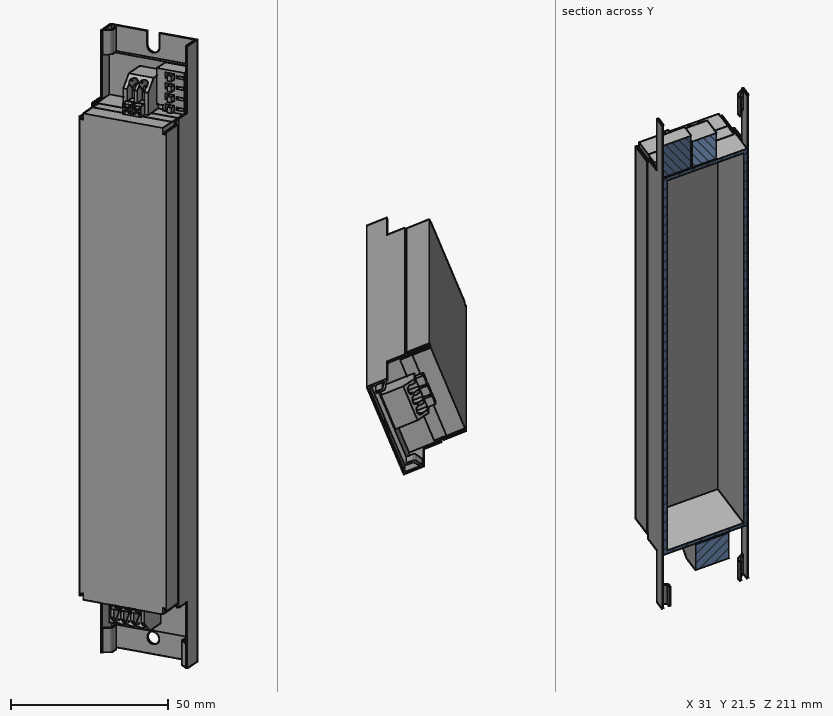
import cadquery as cq
import math


length = 211.0
width = 31.0
depth = 21.5
sheet = 0.6

low_wall_depth = 7.0
high_wall_depth = 13.0
wall_end = 22.5
slot_width = 4.5
hole_diameter = 4.2
slot_depth = 7.0
hole_height = 5.5
hook_length = 8.2
hook_reach = 3.2
hook_drop = 2.0
hook_bend_radius = 0.8

board_end = 8.7
board_depth = 2.1
inner_half_width = width / 2 - sheet

cover_end = 23.0
wall_gap = 0.6
corner_relief = 1.3
relief_groove_depth = 0.8
skirt_depth = 11.0
band_depth = 15.2
end_step = 0.1

pole_pitch = 3.5
terminal_length = 11.4
terminal_depth = 13.5
terminal_chamfer = 3.8
upper_terminal_x = 0.5
upper_terminal_width = 8.9
upper_poles = 2
lower_terminal_x = -2.5
lower_terminal_width = 12.0
lower_poles = 3
screw_width = 3.0
screw_length = 3.5
screw_height = 2.7
screw_slot_width = 0.5
screw_slot_depth = 0.8
wire_hole_diameter = 3.0
wire_hole_length = 3.8
wire_slot_width = 2.5
wire_slot_bottom = 3.4
wire_slot_depth = 3.4

header_gap = 0.2
header_left = upper_terminal_x + upper_terminal_width / 2 + header_gap
header_top = 202.1
header_depth = 7.8
pin_rows = 4
pin_pitch = 3.5
top_pin_z = 200.2
pin_x = 10.5
pin_width = 1.5
pin_height = 2.0
pin_length = 2.1
socket_x = 8.7
socket_width = 1.3
blade_slot_x = 13.3
blade_slot_width = 2.5
blade_slot_height = 0.8
socket_depth = 2.1
key_width = 2.1
key_height = 2.0
key_depth = 1.0


def block(x_range, depth_range, z_range):
    """Box between two X positions, two depths and two heights."""
    x0, x1 = x_range
    d0, d1 = depth_range
    z0, z1 = z_range
    return cq.Workplane("XY").box(x1 - x0, d1 - d0, z1 - z0, centered=False).translate((x0, -d1, z0))


def span(centre, size):
    """Both ends of a length about its centre."""
    return (centre - size / 2, centre + size / 2)


def centred_block(half_width, depth_range, end_gap):
    """Box centred on X, keeping the same distance from both ends of the tray."""
    return block((-half_width, half_width), depth_range, (end_gap, length - end_gap))


def make_hook(side, base_z):
    """Wall edge rolled inwards: a sloping lip and a leg pointing back to the floor."""
    wall = width / 2
    tip = wall - hook_reach
    lip_back = low_wall_depth - sheet
    points = [
        (wall, low_wall_depth),
        (tip, low_wall_depth - hook_drop),
        (tip, board_depth),
        (tip + sheet, board_depth),
        (tip + sheet, lip_back - hook_drop),
        (wall, lip_back),
    ]
    outline = [(side * x, -d) for x, d in points]
    hook = cq.Workplane("XY").workplane(offset=base_z).polyline(outline).close().extrude(hook_length)

    bend_x, bend_y = outline[1]
    bend_edge = cq.NearestToPointSelector((bend_x, bend_y, base_z + hook_length / 2))
    return hook.edges(bend_edge).fillet(hook_bend_radius)


def make_tray():
    half = width / 2
    tray = centred_block(half, (0, low_wall_depth), 0)
    tray = tray.union(centred_block(half, (0, high_wall_depth), wall_end))
    tray = tray.cut(centred_block(inner_half_width, (sheet, high_wall_depth), 0))

    slot_radius = slot_width / 2
    slot_centre = length - slot_depth + slot_radius
    tray = tray.cut(block((-slot_radius, slot_radius), (0, sheet), (slot_centre, length)))
    for z, radius in ((slot_centre, slot_radius), (hole_height, hole_diameter / 2)):
        tray = tray.cut(cq.Workplane("XZ").center(0, z).circle(radius).extrude(sheet))

    for side, base_z in ((-1, 0), (1, 0), (-1, length - hook_length)):
        tray = tray.union(make_hook(side, base_z))
    return tray


def make_board():
    return centred_block(inner_half_width, (sheet, board_depth), board_end)


def make_cover():
    half = width / 2
    end_half = half - corner_relief
    cap = centred_block(half, (high_wall_depth + wall_gap, depth), cover_end + corner_relief)
    front = centred_block(end_half, (board_depth, depth), cover_end)
    skirt_depths = (board_depth, high_wall_depth + wall_gap)
    skirt = centred_block(inner_half_width, skirt_depths, cover_end + 2 * end_step)
    for side in (-1, 1):
        groove_edges = sorted((side * inner_half_width, side * end_half))
        for z in (cover_end + corner_relief, length - cover_end - corner_relief - relief_groove_depth):
            cap = cap.cut(block(groove_edges, (board_depth, depth), (z, z + relief_groove_depth)))
    outside = cap.union(front).union(skirt)

    for back_edge, step in ((band_depth, end_step), (skirt_depth, 2 * end_step)):
        for z in (cover_end, length - cover_end - step):
            outside = outside.cut(block((-half, half), (board_depth, back_edge), (z, z + step)))

    inside_end = cover_end + corner_relief + sheet
    return outside.cut(centred_block(end_half - sheet, (board_depth, depth - sheet), inside_end))


def make_terminal(centre_x, body_width, poles):
    """Screw terminal whose wire entries face +Z, starting at Z = 0 against the cover."""
    profile = [
        (-board_depth, 0),
        (-terminal_depth, 0),
        (-terminal_depth, terminal_length - terminal_chamfer),
        (-terminal_depth + terminal_chamfer, terminal_length),
        (-board_depth, terminal_length),
    ]
    body = cq.Workplane("YZ").polyline(profile).close().extrude(body_width / 2, both=True)

    for i in range(poles):
        x = (i - (poles - 1) / 2) * pole_pitch
        body = body.cut(make_wire_hole().translate((x, 0, 0)))
        body = body.union(make_screw().translate((x, 0, 0)))
    return body.translate((centre_x, 0, 0))


def make_wire_hole():
    """Round hole square to the sloping face, running into a slot in the front face."""
    half_chamfer = terminal_chamfer / 2
    slope_middle = cq.Vector(0, half_chamfer - terminal_depth, terminal_length - half_chamfer)
    inward = cq.Vector(0, 1, -1)
    start = slope_middle - inward * terminal_chamfer
    entry_length = terminal_chamfer * math.sqrt(2)
    hole = cq.Solid.makeCylinder(wire_hole_diameter / 2, entry_length + wire_hole_length, start, inward)
    slot = block(
        span(0, wire_slot_width),
        (terminal_depth - wire_slot_depth, terminal_depth),
        (wire_slot_bottom, terminal_length - half_chamfer),
    )
    return slot.union(cq.Workplane(hole))


def make_screw():
    """Rectangular screw head on the front face, with a cross slot for the driver."""
    head_front = terminal_depth + screw_height
    head = block(span(0, screw_width), (terminal_depth, head_front), span(0, screw_length))
    slot_depths = (head_front - screw_slot_depth, head_front)
    slot = block(span(0, screw_width), slot_depths, span(0, screw_slot_width))
    for angle in (45, -45):
        head = head.cut(slot.rotate((0, 0, 0), (0, 1, 0), angle))
    return head.translate((0, 0, screw_length / 2))


def make_header():
    """Pin header with a socket, a pin and a narrow blade slot in every row."""
    base = length - cover_end
    header = block((header_left, inner_half_width), (board_depth, header_depth), (base, header_top))
    key_x = (header_left, header_left + key_width)
    header = header.cut(block(key_x, (header_depth - key_depth, header_depth), (base, base + key_height)))

    recess = (header_depth - socket_depth, header_depth)
    for row in range(pin_rows):
        z = top_pin_z - row * pin_pitch
        pin_z = (max(z - pin_height / 2, base), z + pin_height / 2)
        slot_z = span(z, blade_slot_height)
        header = header.cut(block(span(socket_x, socket_width), recess, pin_z))
        header = header.cut(block(span(blade_slot_x, blade_slot_width), recess, slot_z))
        pin_depths = (header_depth, header_depth + pin_length)
        header = header.union(block(span(pin_x, pin_width), pin_depths, pin_z))
    return header


tray = make_tray()
board = make_board()
cover = make_cover()
upper_terminal = make_terminal(upper_terminal_x, upper_terminal_width, upper_poles)
upper_terminal = upper_terminal.translate((0, 0, length - cover_end))
lower_terminal = make_terminal(lower_terminal_x, lower_terminal_width, lower_poles)
lower_terminal = lower_terminal.mirror("XY").translate((0, 0, cover_end))
header = make_header()

result = cq.Compound.makeCompound(
    [tray.val(), board.val(), cover.val(), upper_terminal.val(), lower_terminal.val(), header.val()]
)